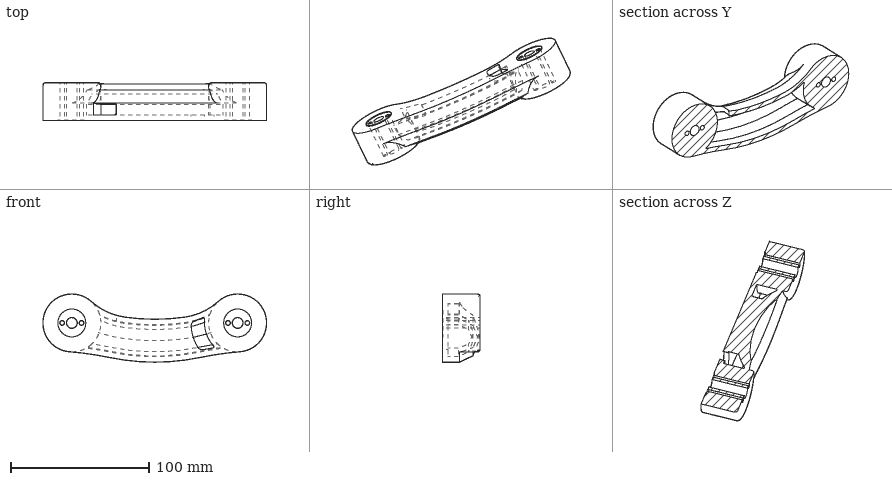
import cadquery as cq
import math


BOSS_X = 60.0
BOSS_RADIUS = 21.0
BOSS_DEPTH = 27.5
BOSS_EDGE_FILLET = 2.0

AXLE_DIAMETER = 7.6
PIN_DIAMETER = 3.2
PIN_OFFSET = 7.0
SEAT_DIAMETER = 20.2
SEAT_DEPTH = 0.5

TOP_MIDDLE_Z = 2.75
TOP_RADIUS = 155.0
TOP_BLEND_RADIUS = 45.5
BOTTOM_MIDDLE_Z = -28.49
BOTTOM_RADIUS = 160.0
BOTTOM_BLEND_RADIUS = 240.0

SIDE_DEPTH = 12.6
STEEP_DEPTH = 22.3
STEEP_INSET = 4.6
SHALLOW_ANGLE = 68.8

WALL = 4.0
FRONT_OPENING_OUTER_RADIUS = 33.8
FRONT_OPENING_INNER_RADIUS = 24.0
FRONT_OPENING_TOP_INSET = 4.2
FRONT_OPENING_BOTTOM_INSET = 5.2
FRONT_OPENING_OUTER_FILLET = 4.0
FRONT_OPENING_INNER_FILLET = 1.0
TOP_OPENING_OUTER_RADIUS = 32.5
TOP_OPENING_END_Y = 12.3
TOP_OPENING_FILLET = 1.5
TOP_OPENING_START_X = -44.2
TOP_OPENING_BASE_Z = -3.0

FAR = 80.0

LEFT_BOSS = (-BOSS_X, 0.0)
RIGHT_BOSS = (BOSS_X, 0.0)


def mirrored(point):
    return (-point[0], point[1])


def point_toward(center, target, radius):
    """Point at the given radius from center, in the direction of target."""
    angle = math.atan2(target[1] - center[1], target[0] - center[0])
    return (center[0] + radius * math.cos(angle), center[1] + radius * math.sin(angle))


def blend_center(middle_center, middle_distance, boss_distance):
    """Center of the blend at the right boss, at the given distances from its two neighbors.

    Of the two possible points, the one nearer the arm's middle keeps the blend short.
    """
    span = math.dist(RIGHT_BOSS, middle_center)
    along = (boss_distance**2 + span**2 - middle_distance**2) / (2 * span)
    across = math.sqrt(boss_distance**2 - along**2)
    ux = (middle_center[0] - RIGHT_BOSS[0]) / span
    uz = (middle_center[1] - RIGHT_BOSS[1]) / span
    candidates = [
        (RIGHT_BOSS[0] + along * ux + side * across * uz, RIGHT_BOSS[1] + along * uz - side * across * ux)
        for side in (1, -1)
    ]
    return min(candidates)


TOP_CENTER = (0.0, TOP_MIDDLE_Z + TOP_RADIUS)
TOP_BLEND = blend_center(TOP_CENTER, TOP_RADIUS - TOP_BLEND_RADIUS, BOSS_RADIUS + TOP_BLEND_RADIUS)
BOTTOM_CENTER = (0.0, BOTTOM_MIDDLE_Z + BOTTOM_RADIUS)
BOTTOM_BLEND = blend_center(
    BOTTOM_CENTER, BOTTOM_RADIUS + BOTTOM_BLEND_RADIUS, BOSS_RADIUS + BOTTOM_BLEND_RADIUS
)


def arc_middle(center, start, end):
    """Point halfway along the short arc from start to end about center."""
    chord_middle = ((start[0] + end[0]) / 2, (start[1] + end[1]) / 2)
    return point_toward(center, chord_middle, math.dist(center, start))


def section_plane(y):
    """Sketch plane parallel to the front face, with local axes X and Z."""
    return cq.Workplane("XZ", origin=(0, y, 0))


def below_top_edge(y, inset):
    """Closed outline of everything below the arm's top edge, moved inward by inset."""
    boss_joint = point_toward(RIGHT_BOSS, TOP_BLEND, BOSS_RADIUS - inset)
    joint = point_toward(TOP_CENTER, TOP_BLEND, TOP_RADIUS + inset)
    blend_middle = arc_middle(TOP_BLEND, boss_joint, joint)
    return (
        section_plane(y)
        .moveTo(-FAR, -FAR)
        .lineTo(*LEFT_BOSS)
        .lineTo(*mirrored(boss_joint))
        .threePointArc(mirrored(blend_middle), mirrored(joint))
        .threePointArc((0, TOP_MIDDLE_Z - inset), joint)
        .threePointArc(blend_middle, boss_joint)
        .lineTo(*RIGHT_BOSS)
        .lineTo(FAR, -FAR)
        .close()
    )


def above_bottom_edge(y, inset):
    """Closed outline of everything above the arm's bottom edge, moved inward by inset."""
    boss_joint = point_toward(RIGHT_BOSS, BOTTOM_BLEND, BOSS_RADIUS - inset)
    joint = point_toward(BOTTOM_CENTER, BOTTOM_BLEND, BOTTOM_RADIUS - inset)
    blend_middle = arc_middle(BOTTOM_BLEND, boss_joint, joint)
    return (
        section_plane(y)
        .moveTo(-boss_joint[0], FAR)
        .lineTo(*mirrored(boss_joint))
        .threePointArc(mirrored(blend_middle), mirrored(joint))
        .threePointArc((0, BOTTOM_MIDDLE_Z + inset), joint)
        .threePointArc(blend_middle, boss_joint)
        .lineTo(boss_joint[0], FAR)
        .close()
    )


def arm_solid(levels):
    """Arm-shaped solid through (y, inset) levels; its two beveled sides meet in a ridge."""
    halves = []
    for outline in (below_top_edge, above_bottom_edge):
        wires = [outline(y, inset).val() for y, inset in levels]
        halves.append(cq.Workplane(cq.Solid.makeLoft(wires, True)))
    return halves[0].intersect(halves[1])


def boss_cylinder(center, radius, start_y, end_y):
    return section_plane(start_y).center(*center).circle(radius).extrude(start_y - end_y)


def ring(center, inner_radius, outer_radius, start_y, end_y):
    profile = section_plane(start_y).center(*center).circle(outer_radius).circle(inner_radius)
    return profile.extrude(start_y - end_y)


STEEP_ANGLE = math.atan2(STEEP_INSET, STEEP_DEPTH - SIDE_DEPTH)
SHALLOW_SLOPE = math.tan(math.radians(SHALLOW_ANGLE))
LAST_INSET = STEEP_INSET + (BOSS_DEPTH - STEEP_DEPTH) * SHALLOW_SLOPE


def wall_offset(level, angle_before, angle_after):
    """Move a cross-section corner inward so both adjoining walls are WALL thick."""
    middle = (angle_before + angle_after) / 2
    reach = WALL / math.cos((angle_after - angle_before) / 2)
    return (level[0] - reach * math.sin(middle), level[1] + reach * math.cos(middle))


def make_body():
    levels = [(0, 0), (SIDE_DEPTH, 0), (STEEP_DEPTH, STEEP_INSET), (BOSS_DEPTH, LAST_INSET)]
    body = arm_solid(levels)
    for center in (LEFT_BOSS, RIGHT_BOSS):
        boss = boss_cylinder(center, BOSS_RADIUS, 0, BOSS_DEPTH)
        body = body.union(boss.faces(">Y").edges().fillet(BOSS_EDGE_FILLET))
    return body


def make_cavity():
    """Interior that keeps WALL everywhere and stops short of both bosses."""
    side = wall_offset((SIDE_DEPTH, 0), 0, STEEP_ANGLE)
    steep = wall_offset((STEEP_DEPTH, STEEP_INSET), STEEP_ANGLE, math.radians(SHALLOW_ANGLE))
    last = (steep[0] + (LAST_INSET - steep[1]) / SHALLOW_SLOPE, LAST_INSET)
    cavity = arm_solid([(WALL, WALL), side, steep, last])
    for center in (LEFT_BOSS, RIGHT_BOSS):
        cavity = cavity.cut(boss_cylinder(center, BOSS_RADIUS, 0, BOSS_DEPTH))
    return cavity


def make_front_opening():
    """Curved window through the front wall, concentric with the right boss."""
    inner_radius = FRONT_OPENING_INNER_RADIUS
    outer_radius = FRONT_OPENING_OUTER_RADIUS
    window = ring(RIGHT_BOSS, inner_radius, outer_radius, 0, WALL)
    window = window.intersect(below_top_edge(0, FRONT_OPENING_TOP_INSET).extrude(-WALL))
    window = window.intersect(above_bottom_edge(0, FRONT_OPENING_BOTTOM_INSET).extrude(-WALL))

    def corners_at(radius):
        def on_radius(edge):
            middle = edge.Center()
            return abs(math.dist((middle.x, middle.z), RIGHT_BOSS) - radius) < 0.01
        return window.edges("|Y").filter(on_radius)

    window = corners_at(outer_radius).fillet(FRONT_OPENING_OUTER_FILLET)
    return corners_at(inner_radius).fillet(FRONT_OPENING_INNER_FILLET)


def make_top_opening():
    """Slot through the arm's top wall beside the left boss, concentric with that boss."""
    slot = boss_cylinder(LEFT_BOSS, TOP_OPENING_OUTER_RADIUS, WALL, TOP_OPENING_END_Y)
    slot = slot.edges().fillet(TOP_OPENING_FILLET)
    slot = slot.cut(boss_cylinder(LEFT_BOSS, BOSS_RADIUS, 0, BOSS_DEPTH))
    keep = cq.Workplane().box(BOSS_X, BOSS_DEPTH, FAR, centered=False)
    return slot.intersect(keep.translate((TOP_OPENING_START_X, 0, TOP_OPENING_BASE_Z)))


def drill_boss(body, center):
    """Shallow front seat, axle hole and a pin hole on each side of it."""
    body = body.cut(boss_cylinder(center, SEAT_DIAMETER / 2, 0, SEAT_DEPTH))
    body = body.cut(boss_cylinder(center, AXLE_DIAMETER / 2, 0, BOSS_DEPTH))
    for side in (-1, 1):
        pin_center = (center[0] + side * PIN_OFFSET, center[1])
        body = body.cut(boss_cylinder(pin_center, PIN_DIAMETER / 2, 0, BOSS_DEPTH))
    return body


hollow = make_cavity().union(make_top_opening()).union(make_front_opening())
part = make_body().cut(hollow)
for boss_center in (LEFT_BOSS, RIGHT_BOSS):
    part = drill_boss(part, boss_center)

result = part